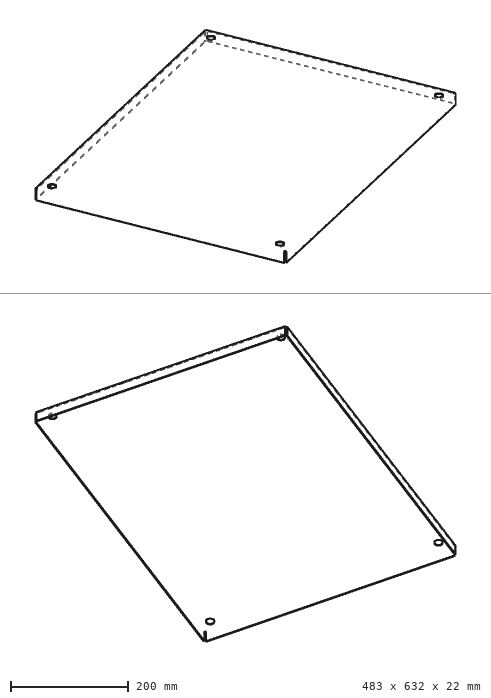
import cadquery as cq

width = 483.0
length = 632.0
height = 22.0
sheet = 2.0
bend_radius = 3.0
corner_notch = 4.0
hole_diameter = 14.5
hole_inset = 23.0


def rounded_block(size_x, size_y, size_z, radius):
    """Block standing on Z = 0 with its four top edges rounded."""
    block = cq.Workplane("XY").box(size_x, size_y, size_z, centered=(True, True, False))
    return block.faces(">Z").edges().fillet(radius)


def corner_points(inset):
    """Four points lying inward from the corners of the outline."""
    x = width / 2 - inset
    y = length / 2 - inset
    return [(-x, -y), (-x, y), (x, -y), (x, y)]


outer = rounded_block(width, length, height, bend_radius)
cavity = rounded_block(width - 2 * sheet, length - 2 * sheet, height - sheet, bend_radius - sheet)
tray = outer.cut(cavity)

notches = (
    cq.Workplane("XY")
    .pushPoints(corner_points(corner_notch / 2))
    .rect(corner_notch, corner_notch)
    .extrude(height)
)

holes = (
    cq.Workplane("XY")
    .pushPoints(corner_points(hole_inset))
    .circle(hole_diameter / 2)
    .extrude(height)
)

result = tray.cut(notches).cut(holes)